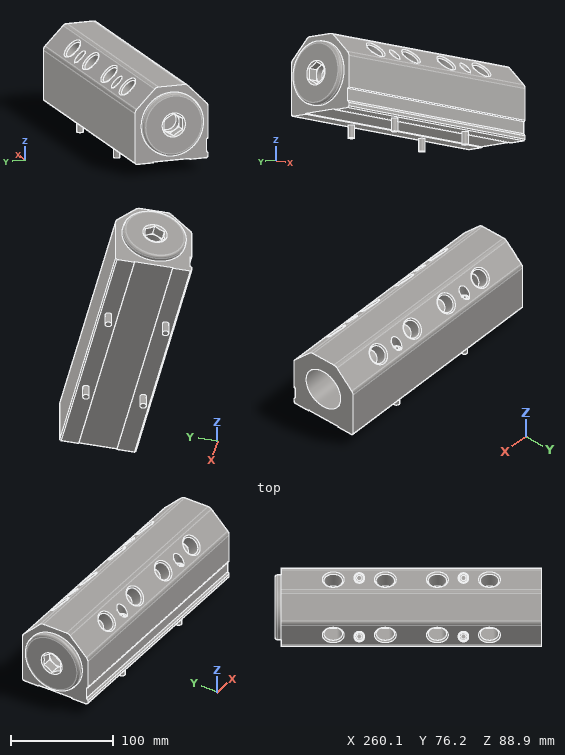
import cadquery as cq
import math

INCH = 25.4


LENGTH = 10 * INCH
WIDTH = 3 * INCH
HALF = WIDTH / 2
SHOULDER_LEG = 7 / 8 * INCH
SHOULDER_ROUND = 5.7
FOOT_CHAMFER = 1.5
RECESS_WIDTH = 1.5 * INCH
RECESS_DEPTH = 0.8

GROOVE_DEPTH = 1.6
GROOVE_TOP = -18.0
GROOVE_BOTTOM = -33.2
GROOVE_TOP_BEVEL = 1.0
GROOVE_BOTTOM_BEVEL = 2.2

BORE_DIAMETER = 1.75 * INCH

PORT_PITCH = 2 * INCH
PORT_COUNT = 4
PORT_DIAMETER = 18.0
PORT_MOUTH_DIAMETER = 21.3
PORT_CHAMFER = (PORT_MOUTH_DIAMETER - PORT_DIAMETER) / 2
SHOULDER_DISTANCE = (WIDTH - SHOULDER_LEG) / math.sqrt(2)

PLUG_DIAMETER = 2.5 * INCH
PLUG_THICKNESS = 0.24 * INCH
PLUG_ROUND = 2.5
PLUG_SPIGOT = 0.75 * INCH
HEX_FLATS = 0.75 * INCH
HEX_DEPTH = 11.0
PILOT_DEPTH = 0.75 * INCH
HEX_MOUTH_DIAMETER = 24.2
HEX_CONE_DEPTH = (HEX_MOUTH_DIAMETER - HEX_FLATS) / 2 * math.tan(math.radians(30))

SCREW_X = (1.5 * PORT_PITCH, 3.5 * PORT_PITCH)
SCREW_Y = 1.125 * INCH
SCREW_DIAMETER = 0.25 * INCH
SCREW_REACH = 0.5 * INCH
HEAD_DIAMETER = 3 / 8 * INCH
HEAD_HEIGHT = 0.25 * INCH
HEAD_CHAMFER = 0.7
HEAD_TOP = 0.75 * INCH
SCREW_HEX_FLATS = 3 / 16 * INCH
SCREW_HEX_DEPTH = 0.12 * INCH
COUNTERBORE_DIAMETER = 13 / 32 * INCH


def hex_corners(flats):
    """Diameter over the corners of a hexagon."""
    return flats / math.cos(math.pi / 6)


def make_block():
    section = [
        (-HALF, -HALF),
        (-RECESS_WIDTH / 2, -HALF),
        (-RECESS_WIDTH / 2, -HALF + RECESS_DEPTH),
        (RECESS_WIDTH / 2, -HALF + RECESS_DEPTH),
        (RECESS_WIDTH / 2, -HALF),
        (HALF, -HALF),
        (HALF, HALF - SHOULDER_LEG),
        (HALF - SHOULDER_LEG, HALF),
        (-HALF + SHOULDER_LEG, HALF),
        (-HALF, HALF - SHOULDER_LEG),
    ]
    block = cq.Workplane("YZ").polyline(section).close().extrude(LENGTH)
    upper_half = cq.selectors.BoxSelector((0, -WIDTH, 0), (LENGTH, WIDTH, WIDTH))
    block = block.edges("|X").edges(upper_half).fillet(SHOULDER_ROUND)
    block = block.edges("|X and <Z and (<Y or >Y)").chamfer(FOOT_CHAMFER)
    return block


def make_groove():
    floor = -HALF + GROOVE_DEPTH
    section = [
        (-HALF, GROOVE_TOP),
        (floor, GROOVE_TOP - GROOVE_TOP_BEVEL),
        (floor, GROOVE_BOTTOM + GROOVE_BOTTOM_BEVEL),
        (-HALF, GROOVE_BOTTOM),
    ]
    return cq.Workplane("YZ").polyline(section).close().extrude(LENGTH)


def make_bore():
    return cq.Workplane("YZ").circle(BORE_DIAMETER / 2).extrude(LENGTH)


def make_port(x, side):
    """Chamfered hole from the bore axis out through a shoulder; side is +1 or -1 in Y."""
    profile = [
        (0, 0),
        (PORT_DIAMETER / 2, 0),
        (PORT_DIAMETER / 2, SHOULDER_DISTANCE - PORT_CHAMFER),
        (PORT_MOUTH_DIAMETER / 2, SHOULDER_DISTANCE),
        (0, SHOULDER_DISTANCE),
    ]
    port = cq.Workplane("XZ").polyline(profile).close().revolve(360, (0, 0), (0, 1))
    return port.rotate((0, 0, 0), (1, 0, 0), -45 * side).translate((x, 0, 0))


def make_screw_hole(x, y):
    """Close-fitting hole for the shank with a counterbore for the head."""
    seat = HEAD_TOP - HEAD_HEIGHT
    shank = cq.Workplane("XY", origin=(x, y, -HALF)).circle(SCREW_DIAMETER / 2).extrude(WIDTH)
    counterbore = cq.Workplane("XY", origin=(x, y, seat)).circle(COUNTERBORE_DIAMETER / 2).extrude(WIDTH)
    return shank.union(counterbore)


def make_screw(x, y):
    seat = HEAD_TOP - HEAD_HEIGHT
    tip = -HALF - SCREW_REACH
    head = cq.Workplane("XY", origin=(x, y, seat)).circle(HEAD_DIAMETER / 2).extrude(HEAD_HEIGHT)
    head = head.faces(">Z").chamfer(HEAD_CHAMFER)
    shank = cq.Workplane("XY", origin=(x, y, tip)).circle(SCREW_DIAMETER / 2).extrude(seat - tip)
    socket = (
        cq.Workplane("XY", origin=(x, y, HEAD_TOP))
        .polygon(6, hex_corners(SCREW_HEX_FLATS))
        .extrude(-SCREW_HEX_DEPTH)
    )
    return head.union(shank).cut(socket)


def make_plug():
    flange = cq.Workplane("YZ").circle(PLUG_DIAMETER / 2).extrude(-PLUG_THICKNESS)
    flange = flange.faces("<X").edges().fillet(PLUG_ROUND)
    spigot = cq.Workplane("YZ").circle(BORE_DIAMETER / 2).extrude(PLUG_SPIGOT)
    face = cq.Workplane("YZ", origin=(-PLUG_THICKNESS, 0, 0))
    socket = face.transformed(rotate=(0, 0, 90)).polygon(6, hex_corners(HEX_FLATS)).extrude(HEX_DEPTH)
    pilot = face.circle(HEX_FLATS / 2).extrude(PILOT_DEPTH)
    cone = cq.Workplane(
        cq.Solid.makeCone(
            HEX_MOUTH_DIAMETER / 2,
            HEX_FLATS / 2,
            HEX_CONE_DEPTH,
            cq.Vector(-PLUG_THICKNESS, 0, 0),
            cq.Vector(1, 0, 0),
        )
    )
    return flange.union(spigot).cut(socket).cut(pilot).cut(cone)


screw_places = [(x, y) for x in SCREW_X for y in (-SCREW_Y, SCREW_Y)]

block = make_block().cut(make_groove()).cut(make_bore())
for index in range(PORT_COUNT):
    for side in (-1, 1):
        block = block.cut(make_port((index + 1) * PORT_PITCH, side))
for x, y in screw_places:
    block = block.cut(make_screw_hole(x, y))

plug = make_plug()
screws = [make_screw(x, y) for x, y in screw_places]

solids = block.solids().vals() + plug.solids().vals()
for screw in screws:
    solids += screw.solids().vals()
result = cq.Compound.makeCompound(solids)